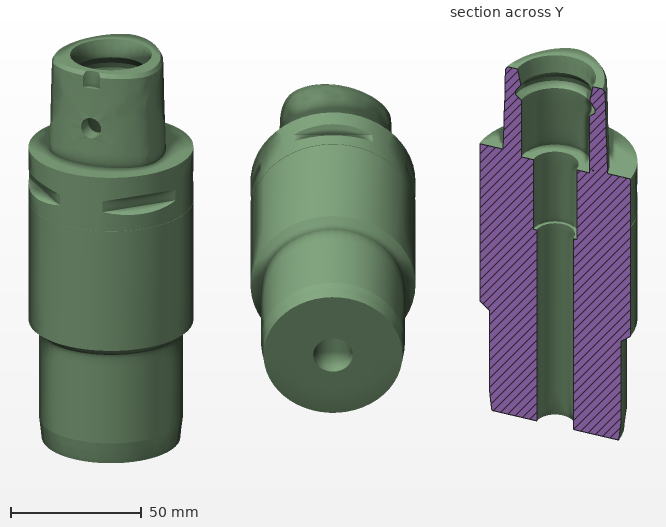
import cadquery as cq
import math

total_height = 158.0
flange_top = 120.1
flange_seam = 98.1
body_bottom = 48.5
neck_top = 45.2
nose_taper_height = 8.5

body_radius = 31.52
neck_radius = 27.5
nose_radius = 26.5
seam_height = 0.3
seam_depth = 0.2

shank_base_radius = 22.3
shank_top_radius = 21.25
lobe_height = 1.5
rim_chamfer_height = 1.6
rim_chamfer_width = 1.0
lobe_points = 48

mouth_radius = 15.6
mouth_throat_radius = 14.2
mouth_depth = 7.0
groove_radius = 16.5
groove_wall_top_depth = 10.1
groove_wall_bottom_depth = 12.0
groove_end_depth = 13.9
bore_radius = 14.0
bore_depth = 39.5
counterbore_radius = 9.0
counterbore_depth = 31.6
through_radius = 7.6

notch_radius = 4.3
notch_centre_y = -22.1
notch_depth = 6.3
side_hole_radius = 4.1
side_hole_z = 135.4

slot_count = 4
slot_first_angle = 45.0
slot_z = 108.0
slot_floor_height = 4.5
slot_mouth_height = 7.7
slot_floor_distance = 27.6


def turned_body():
    profile = [
        (0, 0),
        (nose_radius, 0),
        (neck_radius, nose_taper_height),
        (neck_radius, neck_top),
        (body_radius, body_bottom),
        (body_radius, flange_seam - seam_height / 2),
        (body_radius - seam_depth, flange_seam - seam_height / 2),
        (body_radius - seam_depth, flange_seam + seam_height / 2),
        (body_radius, flange_seam + seam_height / 2),
        (body_radius, flange_top),
        (0, flange_top),
    ]
    return cq.Workplane("XZ").polyline(profile).close().revolve(360, (0, 0, 0), (0, 1, 0))


def lobed_outline(mean_radius, z):
    """Constant-width three-lobed curve with one lobe pointing to +Y."""
    points = []
    for i in range(lobe_points):
        angle = 2 * math.pi * i / lobe_points
        lobe_angle = 3 * (angle - math.pi / 2)
        support = mean_radius + lobe_height * math.cos(lobe_angle)
        slope = -3 * lobe_height * math.sin(lobe_angle)
        x = support * math.cos(angle) - slope * math.sin(angle)
        y = support * math.sin(angle) + slope * math.cos(angle)
        points.append(cq.Vector(x, y, z))
    return cq.Wire.assembleEdges([cq.Edge.makeSpline(points, periodic=True)])


def shank():
    chamfer_bottom = total_height - rim_chamfer_height
    base = lobed_outline(shank_base_radius, flange_top)
    shoulder = lobed_outline(shank_top_radius, chamfer_bottom)
    rim = lobed_outline(shank_top_radius - rim_chamfer_width, total_height)
    taper = cq.Workplane(cq.Solid.makeLoft([base, shoulder], True))
    return taper.union(cq.Workplane(cq.Solid.makeLoft([shoulder, rim], True)))


def stepped_bore():
    bore_floor_z = total_height - bore_depth
    counterbore_z = bore_floor_z - counterbore_depth
    profile = [
        (0, 0),
        (through_radius, 0),
        (through_radius, counterbore_z),
        (counterbore_radius, counterbore_z),
        (counterbore_radius, bore_floor_z),
        (bore_radius, bore_floor_z),
        (bore_radius, total_height - groove_end_depth),
        (groove_radius, total_height - groove_wall_bottom_depth),
        (groove_radius, total_height - groove_wall_top_depth),
        (mouth_throat_radius, total_height - mouth_depth),
        (mouth_radius, total_height),
        (0, total_height),
    ]
    return cq.Workplane("XZ").polyline(profile).close().revolve(360, (0, 0, 0), (0, 1, 0))


def key_notch():
    notch = cq.Workplane("XY").workplane(offset=total_height - notch_depth)
    return notch.center(0, notch_centre_y).circle(notch_radius).extrude(notch_depth)


def side_hole():
    hole = cq.Workplane("XZ", origin=(0, 0, side_hole_z))
    return hole.circle(side_hole_radius).extrude(body_radius)


def gripper_slot(angle):
    """Straight slot with a flat floor and flanks that open outwards."""
    floor_half = slot_floor_height / 2
    mouth_half = slot_mouth_height / 2
    section = [
        (slot_floor_distance, slot_z - floor_half),
        (body_radius, slot_z - mouth_half),
        (body_radius, slot_z + mouth_half),
        (slot_floor_distance, slot_z + floor_half),
    ]
    slot = cq.Workplane("XZ").polyline(section).close().extrude(body_radius, both=True)
    return slot.rotate((0, 0, 0), (0, 0, 1), angle)


result = turned_body().union(shank()).cut(stepped_bore())
result = result.cut(key_notch()).cut(side_hole())
for slot_index in range(slot_count):
    result = result.cut(gripper_slot(slot_first_angle + slot_index * 360 / slot_count))